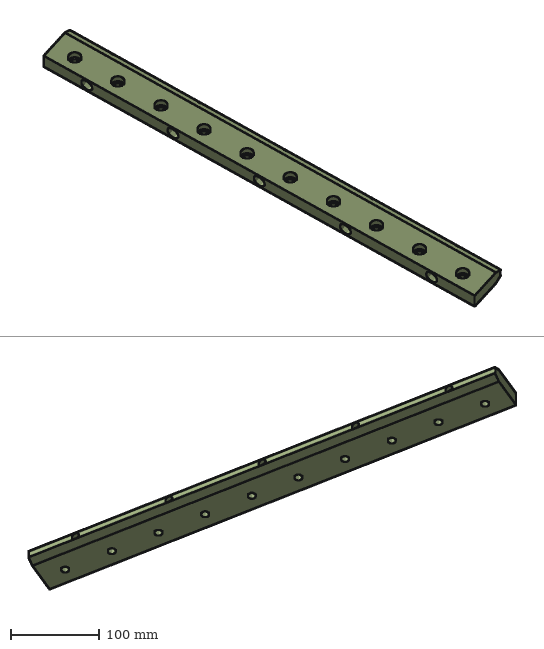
import cadquery as cq

length = 599.5
width = 51.0
height = 20.0

taper_depth = 9.5
nose_height = 10.0
nose_hollow = 1.0
taper_rise = (height - nose_height) / 2

bore_diameter = 9.0
counterbore_diameter = 15.0
counterbore_depth = 9.0

top_hole_count = 10
top_hole_pitch = length / top_hole_count
top_hole_y = 18.5

front_hole_count = 5
front_hole_pitch = length / front_hole_count


def make_bar():
    """Extrude the tapered cross-section along X."""
    shoulder_y = width - taper_depth
    return (
        cq.Workplane("YZ")
        .lineTo(shoulder_y, 0)
        .lineTo(width, taper_rise)
        .threePointArc((width - nose_hollow, height / 2), (width, height - taper_rise))
        .lineTo(shoulder_y, height)
        .lineTo(0, height)
        .close()
        .extrude(length)
    )


def row_positions(count, pitch, cross_position):
    """Hole centres in a row along X, half a pitch from each end."""
    return [((i + 0.5) * pitch, cross_position) for i in range(count)]


def cut_holes(body, entry_plane, positions):
    """Cut counterbored through holes starting at the entry plane."""
    return (
        body.copyWorkplane(entry_plane)
        .pushPoints(positions)
        .cboreHole(bore_diameter, counterbore_diameter, counterbore_depth)
    )


top_plane = cq.Workplane("XY", origin=(0, 0, height))
front_plane = cq.Workplane("XZ")

bar = make_bar()
bar = cut_holes(bar, top_plane, row_positions(top_hole_count, top_hole_pitch, top_hole_y))
result = cut_holes(bar, front_plane, row_positions(front_hole_count, front_hole_pitch, height / 2))